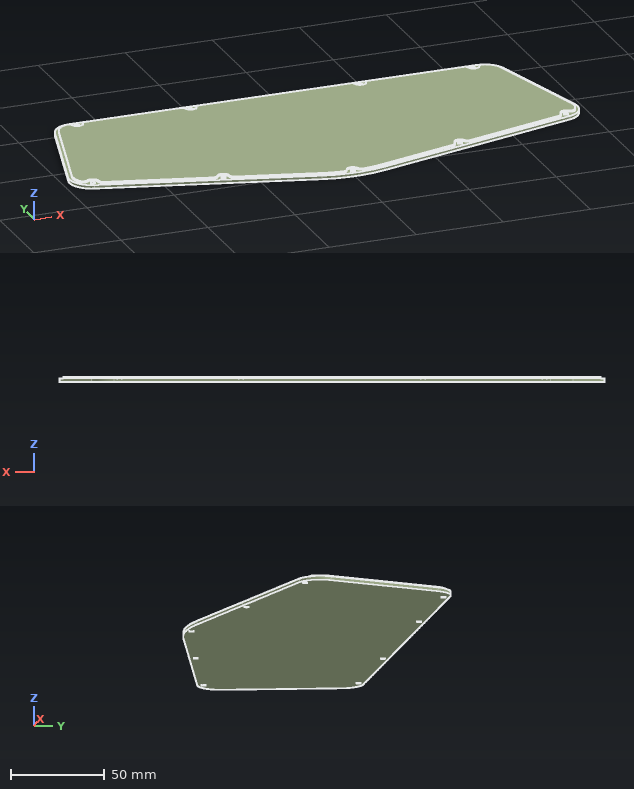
import math

import cadquery as cq

WIDTH = 291.7
DEPTH = 120.8
THICKNESS = 3.0
FLANGE_THICKNESS = 2.0
PANEL_RISE = THICKNESS - FLANGE_THICKNESS

SLANT = math.radians(15)
CORNER_RADIUS = 12.5
NOSE_RADIUS = 70.0

LEDGE = 2.0
RELIEF_RADIUS = 3.2
RELIEF_BLEND = 3.0

HOLE_DIAMETER = 2.4
HOLE_INSET = 3.2
FRONT_HOLE_INSET = 3.5
BACK_HOLE_OFFSETS = (48.7, 113.8)
FRONT_HOLE_PITCH = 68.0
FRONT_HOLES_PER_SIDE = 2

BACK_Y = DEPTH / 2
SIDE_TRIM = CORNER_RADIUS * (math.cos(SLANT) + math.sin(SLANT) - 1)
NOSE_TRIM = NOSE_RADIUS * (1 / math.cos(SLANT) - 1)
SIDE_X = WIDTH / 2 + SIDE_TRIM
NOSE_Y = -DEPTH / 2 - NOSE_TRIM
SIDE_Y = NOSE_Y + SIDE_X * math.tan(SLANT)
BACK_X = SIDE_X - (BACK_Y - SIDE_Y) * math.tan(SLANT)


def flange_plate():
    """The full outline, extruded up from Z = 0."""
    corners = [(-BACK_X, BACK_Y), (BACK_X, BACK_Y), (SIDE_X, SIDE_Y), (0, NOSE_Y), (-SIDE_X, SIDE_Y)]
    plate = cq.Workplane("XY").polyline(corners).close().extrude(FLANGE_THICKNESS)
    plate = plate.edges("|Z and (not <Y)").fillet(CORNER_RADIUS)
    return plate.edges("|Z and <Y").fillet(NOSE_RADIUS)


def hole_centres():
    """Screw holes along the back edge, along both front edges and at the nose."""
    centres = [(0, -DEPTH / 2 + HOLE_INSET)]
    for side in (-1, 1):
        for offset in BACK_HOLE_OFFSETS:
            centres.append((side * offset, BACK_Y - HOLE_INSET))
        for step in range(1, FRONT_HOLES_PER_SIDE + 1):
            x = step * FRONT_HOLE_PITCH
            y = NOSE_Y + x * math.tan(SLANT) + FRONT_HOLE_INSET / math.cos(SLANT)
            centres.append((side * x, y))
    return centres


def raised_panel(flange, centres):
    """The inset panel on top of the flange, with a blended relief around each hole."""
    panel = (
        flange.faces(">Z")
        .wires()
        .toPending()
        .workplane()
        .offset2D(-LEDGE)
        .extrude(PANEL_RISE, combine=False)
    )
    reliefs = (
        cq.Workplane("XY")
        .workplane(offset=FLANGE_THICKNESS)
        .pushPoints(centres)
        .circle(RELIEF_RADIUS)
        .extrude(PANEL_RISE)
    )
    panel = panel.cut(reliefs)
    reach = RELIEF_RADIUS + LEDGE / 2
    for x, y in centres:
        near_hole = cq.selectors.BoxSelector((x - reach, y - reach, 0), (x + reach, y + reach, THICKNESS))
        panel = panel.edges("|Z").edges(near_hole).fillet(RELIEF_BLEND)
    return panel


centres = hole_centres()
flange = flange_plate()
body = flange.union(raised_panel(flange, centres))
holes = cq.Workplane("XY").pushPoints(centres).circle(HOLE_DIAMETER / 2).extrude(FLANGE_THICKNESS)
result = body.cut(holes)